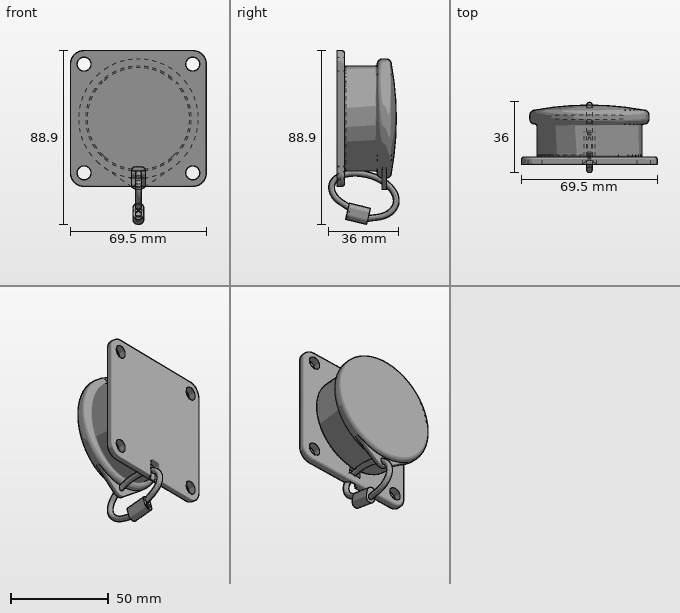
import cadquery as cq
import math

PLATE_SIZE = 69.5
PLATE_THICKNESS = 4.0
PLATE_CORNER_RADIUS = 7.0
PLATE_BACK_ROUND = 1.6
PLATE_FRONT_ROUND = 0.5
HOLE_DIAMETER = 7.0
HOLE_OFFSET = PLATE_SIZE / 2 - PLATE_CORNER_RADIUS

RING_HOLE_WIDTH = 7.0
RING_HOLE_TOP_Z = -24.7
RING_HOLE_BOTTOM_Z = -30.3
RING_HOLE_CORNER_RADIUS = 1.9

GROOVE_MOUTH_WIDTH = 7.2
GROOVE_DEPTH = 2.0
GROOVE_FLOOR_WIDTH = GROOVE_MOUTH_WIDTH - 2 * GROOVE_DEPTH
GROOVE_LOWER_ROUND = 1.1

NECK_RADIUS = 26.9
NECK_ROUND = 0.8

CAP_RADIUS = 30.5
CAP_BASE_Y = 20.6
CAP_RIM_ROUND = CAP_RADIUS - NECK_RADIUS - NECK_ROUND
CAP_RIM_STRAIGHT = 1.7
CAP_SHOULDER_Y = CAP_BASE_Y + 2 * CAP_RIM_ROUND + CAP_RIM_STRAIGHT
CAP_MIDDLE_Y = (CAP_BASE_Y + CAP_SHOULDER_Y) / 2
DOME_HEIGHT = 2.55

TAB_THICKNESS = 2.4
TAB_TIP_RADIUS = 4.8
TAB_TIP_CENTER_Z = -31.5
TAB_EDGE_ROUND = 0.4

SLEEVE_CENTER_Y = 10.84
SLEEVE_CENTER_Z = -48.66
SLEEVE_TILT = -13.8
SLEEVE_LENGTH = 11.1
SLEEVE_WIDTH = 5.7
SLEEVE_HEIGHT = 1.5 * SLEEVE_WIDTH
END_RECESS = 1.0

WIRE_DIAMETER = 3.0
RING_TOP = 20.48
LOWER_BORE_HEIGHT = (SLEEVE_WIDTH - SLEEVE_HEIGHT) / 2
UPPER_BORE_HEIGHT = 1.75
CAP_SIDE_REACH = 17.55
PLATE_SIDE_REACH = 16.5


def make_ring_hole():
    """Cutter for the ring hole, with rounded upper corners."""
    height = RING_HOLE_TOP_Z - RING_HOLE_BOTTOM_Z
    middle_z = (RING_HOLE_TOP_Z + RING_HOLE_BOTTOM_Z) / 2
    cutter = cq.Workplane("XZ").center(0, middle_z).rect(RING_HOLE_WIDTH, height).extrude(-PLATE_THICKNESS)
    return cutter.edges("|Y and >Z").fillet(RING_HOLE_CORNER_RADIUS)


def make_grooved_bar():
    """Bar below the ring hole, its grooved front rounded over at the bottom."""
    half_mouth = GROOVE_MOUTH_WIDTH / 2
    half_floor = GROOVE_FLOOR_WIDTH / 2
    outline = [
        (-half_mouth, 0),
        (-half_floor, GROOVE_DEPTH),
        (half_floor, GROOVE_DEPTH),
        (half_mouth, 0),
        (half_mouth, PLATE_THICKNESS),
        (-half_mouth, PLATE_THICKNESS),
    ]
    bar = (
        cq.Workplane("XY", origin=(0, 0, -PLATE_SIZE / 2))
        .polyline(outline)
        .close()
        .extrude(RING_HOLE_BOTTOM_Z + PLATE_SIZE / 2)
    )
    lower_front_edges = cq.selectors.BoxSelector(
        (-half_mouth, 0, -PLATE_SIZE),
        (half_mouth, GROOVE_DEPTH + GROOVE_LOWER_ROUND / 2, RING_HOLE_BOTTOM_Z),
    )
    return bar.faces("<Z").edges(lower_front_edges).edges("not |Y").fillet(GROOVE_LOWER_ROUND)


def make_plate():
    """Square plate with rounded corners and edges, four corner holes and the ring opening."""
    blank = (
        cq.Workplane("XZ")
        .rect(PLATE_SIZE, PLATE_SIZE)
        .extrude(-PLATE_THICKNESS)
        .edges("|Y")
        .fillet(PLATE_CORNER_RADIUS)
    )
    blank = blank.faces(">Y").edges().fillet(PLATE_BACK_ROUND)
    plate = blank.cut(make_ring_hole())
    plate = plate.faces("<Y").edges().fillet(PLATE_FRONT_ROUND)
    corner_holes = (
        cq.Workplane("XZ")
        .rect(2 * HOLE_OFFSET, 2 * HOLE_OFFSET, forConstruction=True)
        .vertices()
        .circle(HOLE_DIAMETER / 2)
        .extrude(-PLATE_THICKNESS)
    )
    bar_height = RING_HOLE_BOTTOM_Z + PLATE_SIZE / 2
    bar_gap = cq.Workplane("XY", origin=(0, PLATE_THICKNESS / 2, RING_HOLE_BOTTOM_Z - bar_height / 2)).box(
        GROOVE_MOUTH_WIDTH, PLATE_THICKNESS, bar_height
    )
    bar = make_grooved_bar().intersect(blank)
    return plate.cut(corner_holes).cut(bar_gap).union(bar)


def make_neck_and_cap():
    """Neck and domed cap as one body of revolution about the Y axis."""
    shoulder_radius = CAP_RADIUS - CAP_RIM_ROUND
    neck_inset = NECK_RADIUS - NECK_ROUND
    round_diagonal = CAP_RIM_ROUND * math.sqrt(0.5)
    neck_diagonal = NECK_ROUND * math.sqrt(0.5)
    lower_center_y = CAP_BASE_Y + CAP_RIM_ROUND
    upper_center_y = CAP_SHOULDER_Y - CAP_RIM_ROUND
    neck_start_y = PLATE_THICKNESS + NECK_ROUND
    neck_stop_y = CAP_BASE_Y - NECK_ROUND
    apex_y = CAP_SHOULDER_Y + DOME_HEIGHT
    dome_radius = (shoulder_radius**2 + DOME_HEIGHT**2) / (2 * DOME_HEIGHT)
    dome_mid_radius = shoulder_radius / 2
    dome_mid_y = apex_y - dome_radius + math.sqrt(dome_radius**2 - dome_mid_radius**2)
    profile = (
        cq.Workplane("XY")
        .moveTo(0, PLATE_THICKNESS)
        .lineTo(neck_inset, PLATE_THICKNESS)
        .threePointArc((neck_inset + neck_diagonal, neck_start_y - neck_diagonal), (NECK_RADIUS, neck_start_y))
        .lineTo(NECK_RADIUS, neck_stop_y)
        .threePointArc((shoulder_radius - neck_diagonal, neck_stop_y + neck_diagonal), (shoulder_radius, CAP_BASE_Y))
        .threePointArc(
            (shoulder_radius + round_diagonal, lower_center_y - round_diagonal), (CAP_RADIUS, lower_center_y)
        )
        .lineTo(CAP_RADIUS, upper_center_y)
        .threePointArc(
            (shoulder_radius + round_diagonal, upper_center_y + round_diagonal), (shoulder_radius, CAP_SHOULDER_Y)
        )
        .threePointArc((dome_mid_radius, dome_mid_y), (0, apex_y))
        .close()
    )
    return profile.revolve(360, (0, 0), (0, 1))


def make_tab():
    """Tapered tab with a round tip that hangs below the cap rim."""
    side_angle = math.acos((CAP_RADIUS - TAB_TIP_RADIUS) / -TAB_TIP_CENTER_Z)
    side_x = math.sin(side_angle)
    side_z = -math.cos(side_angle)
    rim_x = CAP_RADIUS * side_x
    rim_z = CAP_RADIUS * side_z
    tip_x = TAB_TIP_RADIUS * side_x
    tip_z = TAB_TIP_CENTER_Z + TAB_TIP_RADIUS * side_z
    tab = (
        cq.Workplane("XZ", origin=(0, CAP_MIDDLE_Y - TAB_THICKNESS / 2, 0))
        .moveTo(-rim_x, rim_z)
        .lineTo(-tip_x, tip_z)
        .threePointArc((0, TAB_TIP_CENTER_Z - TAB_TIP_RADIUS), (tip_x, tip_z))
        .lineTo(rim_x, rim_z)
        .close()
        .extrude(-TAB_THICKNESS)
    )
    return tab.faces("<Y or >Y").edges("not >Z").fillet(TAB_EDGE_ROUND)


def make_half_ring(reach, bottom):
    """Half of the ring, from its top round to the sleeve; the sign of reach sets the side."""
    middle = (RING_TOP + bottom) / 2
    half_height = (RING_TOP - bottom) / 2

    def point(angle):
        return (0, reach * math.sin(angle), middle + half_height * math.cos(angle))

    direction = math.copysign(1, reach)
    steps = 8
    points = [cq.Vector(*point(math.pi * i / steps)) for i in range(steps + 1)]
    tangents = [cq.Vector(0, direction, 0), cq.Vector(0, -direction, 0)]
    path = cq.Workplane(cq.Wire.assembleEdges([cq.Edge.makeSpline(points, tangents=tangents)]))
    return cq.Workplane("XZ", origin=point(0)).circle(WIRE_DIAMETER / 2).sweep(path)


def make_ring():
    """Ring and crimp sleeve, built along Y and then tilted into place."""
    half_length = SLEEVE_LENGTH / 2
    sleeve = (
        cq.Workplane("XZ", origin=(0, half_length, 0))
        .slot2D(SLEEVE_HEIGHT, SLEEVE_WIDTH, 90)
        .extrude(SLEEVE_LENGTH)
    )
    recess = (
        cq.Workplane("XZ", origin=(0, END_RECESS - half_length, LOWER_BORE_HEIGHT))
        .circle(WIRE_DIAMETER / 2)
        .extrude(END_RECESS)
    )
    ring = (
        sleeve.cut(recess)
        .union(make_half_ring(CAP_SIDE_REACH, LOWER_BORE_HEIGHT))
        .union(make_half_ring(-PLATE_SIDE_REACH, UPPER_BORE_HEIGHT))
    )
    return ring.rotate((0, 0, 0), (1, 0, 0), SLEEVE_TILT).translate((0, SLEEVE_CENTER_Y, SLEEVE_CENTER_Z))


result = make_plate().union(make_neck_and_cap()).union(make_tab()).union(make_ring())